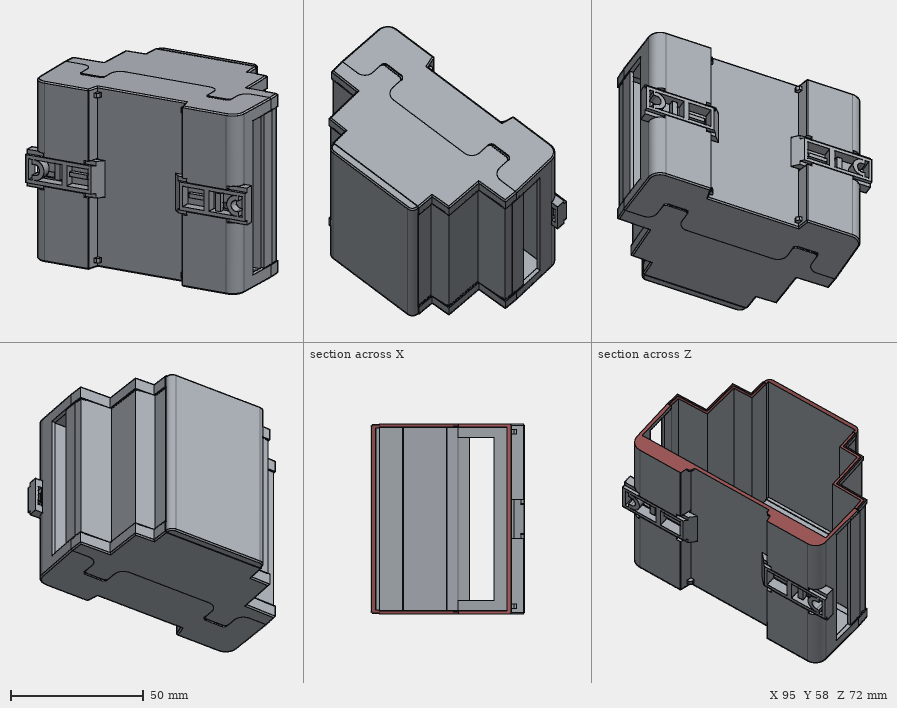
import cadquery as cq

depth = 58.0
length = 72.0
end_z = length / 2
wall = 1.3
edge_bevel = 0.6

parting_y = 25.1
shelf_y = 31.1
upper_shelf_y = 47.6
shelf_slope = 0.3
panel_seam_y = 54.9

side_x, side_top_x, side_foot_x = 44.7, 44.5, 44.3
middle_foot_x, middle_top_x = 31.2, 30.7
upper_foot_x, upper_top_x = 22.3, 22.0
corner_radius = 5.0
panel_inset = 0.3
panel_radius = 2.7

channel_depth = 4.9
channel_top_x, channel_foot_x = 19.0, 20.1
channel_lip_width, channel_lip_height = 0.3, 0.3
base_floor_y = 6.65

window_z = 30.8
window_y = 11.6
guard_recess = 0.5
guard_skin = guard_recess + wall
guard_flange_inset = 0.9
guard_flap_y = 20.7
guard_flap_top_y = 26.9

lap = wall / 2
lip_height = 1.9
tongue_x, tongue_width = 27.4, 10.3
tongue_end_y = 15.6
tongue_gap = 0.95
tongue_root_radius, tongue_tip_radius = 4.1, 1.5

rib_z, rib_length = 33.0, 1.8
rib_inner_x, rib_bevel_x, rib_foot_x = 17.5, 18.4, 19.95
rib_side_y, rib_foot_y = 4.0, 2.9

clip_outer_x = 47.5
clip_height = 5.0
clip_core_z = 5.6
clip_wing_z = 7.3
clip_wing_y = 1.3
clip_foot_x = 19.1
hook_tip_x, hook_tip_y = 15.2, 3.9
clip_rail_start_x, clip_rail_end_x = 22.2, 39.7
clip_clearance = 0.24

pocket_z = 4.1
pocket_depth = 4.1
inner_pocket_x = (20.4, 29.6)
outer_pocket_x = (31.8, 43.6)
pull_slot_x = (44.65, 46.2)
eye_x, eye_radius = 43.6, 2.2
stiffener_x, stiffener_z, stiffener_y = 21.5, 0.9, 2.2
stiffener_bevel = 0.6
bar_x, bar_free_z, bar_y = (33.6, 35.8), 3.0, 1.8
roof_window_x = ((33.3, 35.9), (36.6, 41.3))
roof_window_z = (-3.4, -1.0)
roof_window_slant = 1.2


def block(x_range, y_range, z_range):
    """Box between the given limits along each axis."""
    sizes = [limits[1] - limits[0] for limits in (x_range, y_range, z_range)]
    return cq.Workplane("XY").box(*sizes, centered=False).translate((x_range[0], y_range[0], z_range[0]))


def prism(points, half_length):
    """Closed outline in XY, extruded to both sides of Z = 0."""
    return cq.Workplane("XY").polyline(points).close().extrude(half_length, both=True)


def mirrored_outline(points):
    """Right half of an outline, continued by its mirror image on the left."""
    return points + [(-x, y) for x, y in reversed(points)]


def step_block(inset, half_length, foot_y=parting_y, extra_rise=0):
    """Stepped upper shape below the panel, moved inwards by the inset.

    The extra rise steepens the shelves.
    """
    foot_rise = shelf_slope + extra_rise - inset
    side_draft = (side_x - side_top_x) / (shelf_y - parting_y)
    foot_x = side_x - side_draft * (foot_y - parting_y)
    right_half = [
        (foot_x - inset, foot_y),
        (side_top_x - inset, shelf_y - inset),
        (middle_foot_x - inset, shelf_y + foot_rise),
        (middle_top_x - inset, upper_shelf_y - inset),
        (upper_foot_x - inset, upper_shelf_y + foot_rise),
        (upper_top_x - inset, panel_seam_y),
    ]
    return prism(mirrored_outline(right_half), half_length)


def end_lip(z_sign):
    """Inner-layer lip of one base end wall, rising behind the foot of the cover."""
    half_width = side_top_x - guard_skin
    lip_z = sorted((z_sign * (end_z - lap), z_sign * (end_z - wall)))
    return block((-half_width, half_width), (parting_y, parting_y + lip_height), lip_z)


def tongue(side, end_y, z_sign):
    """Outer-layer tongue on one end wall, flared where it leaves the parting line."""
    half = tongue_width / 2
    root = tongue_root_radius
    tip = tongue_tip_radius
    shape = (
        cq.Workplane("XY")
        .moveTo(-half - root, parting_y)
        .radiusArc((-half, parting_y - root), root)
        .lineTo(-half, end_y + tip)
        .radiusArc((-half + tip, end_y), -tip)
        .lineTo(half - tip, end_y)
        .radiusArc((half, end_y + tip), -tip)
        .lineTo(half, parting_y - root)
        .radiusArc((half + root, parting_y), root)
        .close()
        .extrude(lap)
    )
    start_z = end_z - lap if z_sign > 0 else -end_z
    return shape.translate((side * tongue_x, 0, start_z))


def make_guard(side):
    """Stepped strip filling one side of the cover, with a flange under the cover skin and a flap below."""
    strip = step_block(guard_recess, window_z, guard_flap_top_y, extra_rise=guard_recess)
    flange = step_block(guard_flange_inset, end_z - wall)
    guard = strip.union(flange).cut(step_block(guard_skin, end_z - wall))
    side_half = block(sorted((0, side * side_x)), (0, depth), (-end_z, end_z))
    flap_x = sorted((side * (side_x - guard_recess), side * (side_x - guard_skin)))
    flap = block(flap_x, (guard_flap_y, guard_flap_top_y), (-window_z, window_z))
    return guard.intersect(side_half).union(flap)


def front_panel():
    """Raised panel with rounded long edges and bevelled ends."""
    half_width = upper_top_x - panel_inset
    half_length = end_z - panel_inset
    panel = block((-half_width, half_width), (panel_seam_y, depth), (-half_length, half_length))
    panel = panel.edges("|Z and >Y").fillet(panel_radius)
    rim = panel.faces("|Z").edges("not <Y")
    return rim.chamfer(edge_bevel)


def panel_cavity():
    """Hollow behind the front panel."""
    half_width = upper_top_x - guard_skin
    half_length = end_z - panel_inset - wall
    return block((-half_width, half_width), (panel_seam_y, depth - guard_skin), (-half_length, half_length))


def make_cover(guards):
    """Stepped shell with the front panel, open at the sides for the guards."""
    shell = step_block(0, end_z)
    rims = shell.faces("|Z").edges("not (<Y or >Y)")
    shell = rims.chamfer(edge_bevel).union(front_panel())
    shell = shell.cut(step_block(guard_skin, end_z - wall))
    shell = shell.cut(panel_cavity())
    opening = step_block(-guard_recess, window_z).cut(step_block(guard_skin, window_z))
    shell = shell.cut(opening)
    for guard in guards:
        shell = shell.cut(guard)
    for z_sign in (-1, 1):
        shell = shell.cut(end_lip(z_sign))
        for side in (-1, 1):
            shell = shell.union(tongue(side, tongue_end_y, z_sign))
    return shell


def base_block():
    """Solid lower half with the rail channel, rounded long corners and bevelled ends."""
    lip_foot_x = channel_foot_x + channel_lip_width
    right_half = [
        (channel_top_x, channel_depth),
        (channel_foot_x, channel_lip_height),
        (lip_foot_x, 0),
        (side_foot_x, 0),
        (side_x, parting_y),
    ]
    body = prism(mirrored_outline(right_half), end_z)
    for side in (-1, 1):
        corner = cq.selectors.NearestToPointSelector((side * side_foot_x, 0, 0))
        body = body.edges("|Z").edges(corner).fillet(corner_radius)
    return body.faces("|Z").edges("not >Y").chamfer(edge_bevel)


def locating_rib(side, z_sign):
    """Short bevelled rib in one corner of the rail channel."""
    outline = [
        (side * rib_foot_x, channel_depth),
        (side * rib_inner_x, channel_depth),
        (side * rib_inner_x, rib_side_y),
        (side * rib_bevel_x, rib_foot_y),
        (side * rib_foot_x, rib_foot_y),
    ]
    return prism(outline, rib_length / 2).translate((0, 0, z_sign * rib_z))


def clip_slot(side):
    """T-shaped guide: open over the wings at both ends, narrower under the retaining lips."""
    narrow_z = clip_core_z + clip_clearance
    pieces = [
        ((channel_top_x, clip_outer_x), (clip_wing_y, clip_height), clip_wing_z),
        ((channel_top_x, clip_rail_start_x), (0, clip_wing_y), clip_wing_z),
        ((clip_rail_start_x, clip_rail_end_x), (0, clip_wing_y), narrow_z),
        ((clip_rail_end_x, clip_outer_x), (0, clip_wing_y), clip_wing_z),
    ]
    slot = cq.Workplane("XY")
    for x_range, y_range, half_width in pieces:
        slot_x = sorted((side * x_range[0], side * x_range[1]))
        slot = slot.union(block(slot_x, y_range, (-half_width, half_width)))
    return slot


def make_base(guards):
    """Hollow lower half with side windows, lap joint, channel ribs and clip guides."""
    body = base_block()
    cavity_x = side_foot_x - wall
    body = body.cut(block((-cavity_x, cavity_x), (base_floor_y, parting_y), (wall - end_z, end_z - wall)))
    body = body.cut(block((-side_x, side_x), (window_y, parting_y), (-window_z, window_z)))
    for guard in guards:
        body = body.cut(guard)
    for z_sign in (-1, 1):
        body = body.union(end_lip(z_sign))
        for side in (-1, 1):
            body = body.cut(tongue(side, tongue_end_y - tongue_gap, z_sign))
            body = body.union(locating_rib(side, z_sign))
    for side in (-1, 1):
        body = body.cut(clip_slot(side))
    return body


def roof_window(x_range):
    """Opening from the pocket to the top of the clip, with a slanted wall on the hook side."""
    inner_x, outer_x = x_range
    outline = [
        (inner_x, pocket_depth),
        (outer_x, pocket_depth),
        (outer_x, clip_height),
        (inner_x + roof_window_slant, clip_height),
    ]
    low_z, high_z = roof_window_z
    return cq.Workplane("XY").workplane(offset=low_z).polyline(outline).close().extrude(high_z - low_z)


def make_clip(side, bar_root):
    """Sliding clip with its hook towards X = 0; bar_root is the Z side where the bar is attached."""
    outline = [
        (clip_outer_x, 0),
        (clip_foot_x, 0),
        (hook_tip_x, hook_tip_y),
        (channel_top_x, hook_tip_y),
        (channel_top_x, clip_height),
        (clip_outer_x, clip_height),
    ]
    clip = prism(outline, clip_wing_z)
    for z_sign in (-1, 1):
        notch_z = sorted((z_sign * clip_core_z, z_sign * clip_wing_z))
        clip = clip.cut(block((hook_tip_x, clip_outer_x), (0, clip_wing_y), notch_z))

    pocket_width = (-pocket_z, pocket_z)
    stiffener_width = (-stiffener_z, stiffener_z)
    stiffener = block((stiffener_x, inner_pocket_x[1]), (stiffener_y, pocket_depth), stiffener_width)
    stiffener = stiffener.edges("|Z and <X and <Y").chamfer(stiffener_bevel)
    clip = clip.cut(block(inner_pocket_x, (0, pocket_depth), pocket_width).cut(stiffener))

    eye_boss = cq.Workplane("XZ").center(eye_x, 0).circle(pocket_z).extrude(-pocket_depth)
    bar_z = sorted((bar_root * pocket_z, -bar_root * bar_free_z))
    bar = block(bar_x, (bar_y, pocket_depth), bar_z)
    outer_pocket = block(outer_pocket_x, (0, pocket_depth), pocket_width)
    clip = clip.cut(outer_pocket.cut(eye_boss).cut(bar))
    for window_x in roof_window_x:
        clip = clip.cut(roof_window(window_x))

    clip = clip.cut(block(pull_slot_x, (0, clip_height), pocket_width))
    eye = cq.Workplane("XZ").center(eye_x, 0).circle(eye_radius).extrude(-pocket_depth)
    eye = eye.union(block((eye_x, pull_slot_x[0]), (0, pocket_depth), (-eye_radius, eye_radius)))
    clip = clip.cut(eye)
    return clip if side > 0 else clip.mirror("YZ")


guards = [make_guard(side) for side in (-1, 1)]
base = make_base(guards)
cover = make_cover(guards)
clips = [make_clip(side, bar_root=-side) for side in (-1, 1)]

bodies = [base, cover, *guards, *clips]
result = cq.Compound.makeCompound([body.solids().val() for body in bodies])